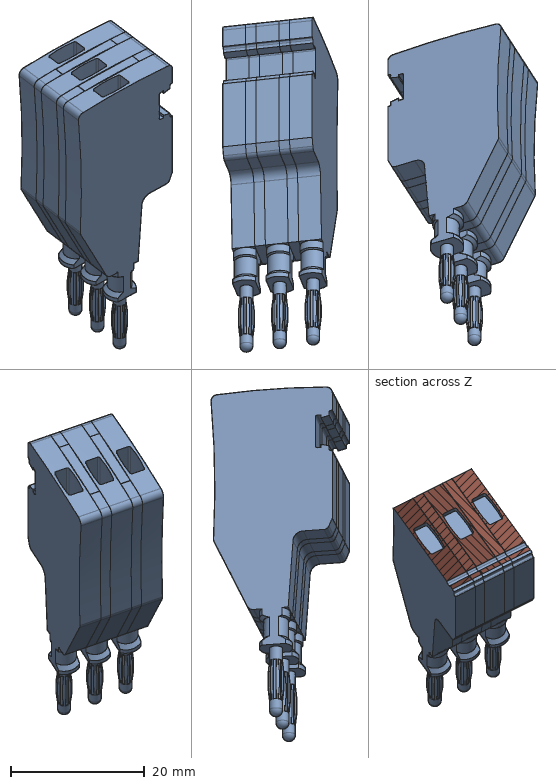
import cadquery as cq
import math

OVERALL_WIDTH = 13.7
OVERALL_HEIGHT = 52.1
PLUG_COUNT = 3
PLUG_PITCH = 5.1
PLUG_WIDTH = OVERALL_WIDTH - (PLUG_COUNT - 1) * PLUG_PITCH
SPACER_WIDTH = PLUG_PITCH - PLUG_WIDTH

DEPTH = 18.5
REAR_Y = 8.9
FRONT_OVERHANG = 0.08
FRONT_Y = REAR_Y - DEPTH - FRONT_OVERHANG
TOP_DOME_RISE = 0.35
TOP_CORNER_Z = OVERALL_HEIGHT - TOP_DOME_RISE
TOP_CORNER_RADIUS = 1.0
FOOT_Z = 16.8
FOOT_REAR_Y = 2.2
FOOT_FRONT_Y = -3.8
WAIST_Y = -9.2
WAIST_Z = 28.35
FRONT_HOLLOW_Y = -9.0
FRONT_HOLLOW_Z = 37.8
FRONT_RADIUS = 1.15
SHELF_Z = 28.9
SHELF_END_Y = 3.0
SHELF_RADIUS = 1.55
HEEL_Z = 30.6
HEEL_Y = 8.2
HEEL_RADIUS = 0.8

NOTCH_MIDDLE_Z = 44.75
NOTCH_WALL_Y = 6.35
LIP_STEP_Y = 8.45
HOOK_Y = 7.2
MOUTH_HALF = 3.25
LIP_HALF = 2.45
HOOK_HALF = 2.15
RELIEF_HALF = 2.6
NOTCH_CORNER_RADIUS = 0.25

SOCKET_Y = -1.65
SOCKET_LENGTH = 5.25
SOCKET_END_WIDTH = 2.3
SOCKET_MIDDLE_WIDTH = 2.65
SOCKET_CORNER_RADIUS = 0.3
SOCKET_DEPTH = 10.4

SPACER_FLAT_LENGTH = 10.75
SPACER_FLAT_DROP = 0.15

NECK_RADIUS = 1.9
FLANGE_RADIUS = 2.5
UPPER_CONE_BOTTOM_Z = 15.4
UPPER_FLANGE_BOTTOM_Z = 15.8
LOWER_CONE_TOP_Z = 12.35
LOWER_FLANGE_TOP_Z = 11.7
NECK_BOTTOM_Z = 10.95
UPPER_FLANGE_REAR_RADIUS = 2.15

PIN_RADIUS = 1.0
BARREL_RADIUS = 1.25
BARREL_TOP_Z = 8.85
BARREL_BOTTOM_Z = 2.5
BARREL_CORE_RADIUS = 0.9
SLOT_COUNT = 8
SLOT_WIDTH = 0.4


def round_edge(body, width, y, z, radius):
    """Fillet the edge that runs across the whole width at the given Y and Z."""
    nearest = cq.selectors.NearestToPointSelector((width / 2, y, z))
    return body.edges("|X").edges(nearest).fillet(radius)


def notch_lip(side):
    """Points of one lip from the rear face inwards; side is +1 for the upper, -1 for the lower."""
    lip = [
        (REAR_Y, MOUTH_HALF),
        (LIP_STEP_Y, MOUTH_HALF),
        (LIP_STEP_Y, LIP_HALF),
        (HOOK_Y, HOOK_HALF),
        (HOOK_Y, RELIEF_HALF),
        (NOTCH_WALL_Y, RELIEF_HALF),
    ]
    return [(y, NOTCH_MIDDLE_Z + side * half) for y, half in lip]


def make_slab(width):
    """The common side outline, extruded across the given width and rounded."""
    slab = (
        cq.Workplane("YZ")
        .moveTo(FOOT_REAR_Y, FOOT_Z)
        .lineTo(FOOT_FRONT_Y, FOOT_Z)
        .lineTo(WAIST_Y, WAIST_Z)
        .threePointArc((FRONT_HOLLOW_Y, FRONT_HOLLOW_Z), (FRONT_Y, TOP_CORNER_Z))
        .threePointArc(((FRONT_Y + REAR_Y) / 2, OVERALL_HEIGHT), (REAR_Y, TOP_CORNER_Z))
        .polyline(notch_lip(1) + notch_lip(-1)[::-1], includeCurrent=True)
        .lineTo(REAR_Y, HEEL_Z)
        .lineTo(HEEL_Y, SHELF_Z)
        .lineTo(SHELF_END_Y, SHELF_Z)
        .close()
        .extrude(width)
    )
    corners = [
        (FOOT_FRONT_Y, FOOT_Z, FRONT_RADIUS),
        (WAIST_Y, WAIST_Z, FRONT_RADIUS),
        (FRONT_Y, TOP_CORNER_Z, TOP_CORNER_RADIUS),
        (REAR_Y, TOP_CORNER_Z, TOP_CORNER_RADIUS),
        (HEEL_Y, SHELF_Z, HEEL_RADIUS),
        (SHELF_END_Y, SHELF_Z, SHELF_RADIUS),
    ]
    for side in (1, -1):
        corners.append((LIP_STEP_Y, NOTCH_MIDDLE_Z + side * MOUTH_HALF, NOTCH_CORNER_RADIUS))
        corners.append((NOTCH_WALL_Y, NOTCH_MIDDLE_Z + side * RELIEF_HALF, NOTCH_CORNER_RADIUS))
    for y, z, radius in corners:
        slab = round_edge(slab, width, y, z, radius)
    return slab


def make_socket():
    """Blind pocket whose two long walls bulge outwards."""
    end_x = SOCKET_END_WIDTH / 2
    middle_x = SOCKET_MIDDLE_WIDTH / 2
    end_y = SOCKET_LENGTH / 2
    return (
        cq.Workplane("XY", origin=(PLUG_WIDTH / 2, SOCKET_Y, OVERALL_HEIGHT - SOCKET_DEPTH))
        .moveTo(-end_x, -end_y)
        .lineTo(end_x, -end_y)
        .threePointArc((middle_x, 0), (end_x, end_y))
        .lineTo(-end_x, end_y)
        .threePointArc((-middle_x, 0), (-end_x, -end_y))
        .close()
        .extrude(SOCKET_DEPTH)
        .edges("|Z")
        .fillet(SOCKET_CORNER_RADIUS)
    )


def make_neck():
    """Flanged neck, trimmed flat to the plug width; the rear half of the upper flange is smaller."""
    turned = (
        cq.Workplane("XZ", origin=(PLUG_WIDTH / 2, 0, 0))
        .moveTo(0, NECK_BOTTOM_Z)
        .lineTo(FLANGE_RADIUS, NECK_BOTTOM_Z)
        .lineTo(FLANGE_RADIUS, LOWER_FLANGE_TOP_Z)
        .lineTo(NECK_RADIUS, LOWER_CONE_TOP_Z)
        .lineTo(NECK_RADIUS, UPPER_CONE_BOTTOM_Z)
        .lineTo(FLANGE_RADIUS, UPPER_FLANGE_BOTTOM_Z)
        .lineTo(FLANGE_RADIUS, FOOT_Z)
        .lineTo(0, FOOT_Z)
        .close()
        .revolve(360, (0, 0), (0, 1))
    )
    trim = (
        cq.Workplane("XY", origin=(PLUG_WIDTH / 2, 0, NECK_BOTTOM_Z))
        .rect(PLUG_WIDTH, 2 * FLANGE_RADIUS)
        .extrude(FOOT_Z - NECK_BOTTOM_Z)
    )
    rear_ring = (
        cq.Workplane("XY", origin=(PLUG_WIDTH / 2, 0, UPPER_CONE_BOTTOM_Z))
        .moveTo(UPPER_FLANGE_REAR_RADIUS, 0)
        .threePointArc((0, UPPER_FLANGE_REAR_RADIUS), (-UPPER_FLANGE_REAR_RADIUS, 0))
        .lineTo(-FLANGE_RADIUS, 0)
        .threePointArc((0, FLANGE_RADIUS), (FLANGE_RADIUS, 0))
        .close()
        .extrude(FOOT_Z - UPPER_CONE_BOTTOM_Z)
    )
    return turned.intersect(trim).cut(rear_ring)


def make_pin():
    """Round-nosed pin whose bulging middle is slotted lengthwise into spring leaves."""
    nose_offset = PIN_RADIUS * math.sqrt(0.5)
    barrel_middle_z = (BARREL_TOP_Z + BARREL_BOTTOM_Z) / 2
    pin = (
        cq.Workplane("XZ")
        .moveTo(0, 0)
        .threePointArc((nose_offset, PIN_RADIUS - nose_offset), (PIN_RADIUS, PIN_RADIUS))
        .lineTo(PIN_RADIUS, BARREL_BOTTOM_Z)
        .threePointArc((BARREL_RADIUS, barrel_middle_z), (PIN_RADIUS, BARREL_TOP_Z))
        .lineTo(PIN_RADIUS, NECK_BOTTOM_Z)
        .lineTo(0, NECK_BOTTOM_Z)
        .close()
        .revolve(360, (0, 0), (0, 1))
    )
    slot_length = BARREL_RADIUS
    slots = (
        cq.Workplane("XY", origin=(0, 0, BARREL_BOTTOM_Z))
        .polarArray(BARREL_CORE_RADIUS + slot_length / 2, 0, 360, SLOT_COUNT)
        .rect(slot_length, SLOT_WIDTH)
        .extrude(BARREL_TOP_Z - BARREL_BOTTOM_Z)
    )
    return pin.cut(slots).translate((PLUG_WIDTH / 2, 0, 0))


def make_plug():
    return make_slab(PLUG_WIDTH).cut(make_socket()).union(make_neck()).union(make_pin())


def make_spacer():
    """Plain slab with the crest of its domed top cut flat."""
    crest = (
        cq.Workplane("XY", origin=(SPACER_WIDTH / 2, 0, OVERALL_HEIGHT - SPACER_FLAT_DROP))
        .rect(SPACER_WIDTH, SPACER_FLAT_LENGTH)
        .extrude(SPACER_FLAT_DROP)
    )
    return make_slab(SPACER_WIDTH).cut(crest)


plug = make_plug()
spacer = make_spacer()
plugs = [plug.translate((i * PLUG_PITCH, 0, 0)) for i in range(PLUG_COUNT)]
spacers = [spacer.translate((PLUG_WIDTH + i * PLUG_PITCH, 0, 0)) for i in range(PLUG_COUNT - 1)]

result = cq.Compound.makeCompound([body.val() for body in plugs + spacers])